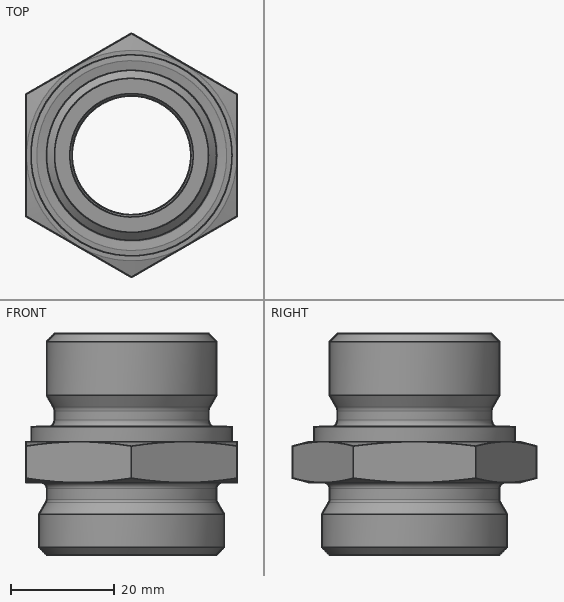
import cadquery as cq
import math

total_height = 43.0
bore_diameter = 23.0
bore_chamfer = 0.45
thread_chamfer = 1.55
relief_angle = math.radians(30)

lower_thread_radius = 36.0 / 2
lower_groove_radius = 33.0 / 2
lower_fillet = 1.15
lower_neck_bottom = 10.85

hex_across_corners = 47.35
hex_bottom = 14.05
hex_top = 22.0
hex_face_radius = 20.4
hex_chamfer_angle = math.radians(15)

collar_radius = 39.0 / 2
collar_edge_height = 24.85
rim_radius = 18.4
rim_height = 24.95
dish_height = 24.65

upper_thread_radius = 33.0 / 2
upper_groove_radius = 30.0 / 2
upper_fillet = 1.6
upper_neck_top = 28.0


def relief_offsets(thread_radius, groove_radius, fillet):
    """Radial and axial size of the groove's blend arc, then axial size of its cone."""
    arc_rise = fillet * (1 - math.cos(relief_angle))
    arc_length = fillet * math.sin(relief_angle)
    cone_length = (thread_radius - groove_radius - arc_rise) / math.tan(relief_angle)
    return arc_rise, arc_length, cone_length


def lower_end():
    arc_rise, arc_length, cone_length = relief_offsets(
        lower_thread_radius, lower_groove_radius, lower_fillet
    )
    arc_bottom = lower_neck_bottom - arc_length
    profile = (
        cq.Workplane("XZ")
        .lineTo(lower_thread_radius - thread_chamfer, 0)
        .lineTo(lower_thread_radius, thread_chamfer)
        .lineTo(lower_thread_radius, arc_bottom - cone_length)
        .lineTo(lower_groove_radius + arc_rise, arc_bottom)
        .tangentArcPoint((lower_groove_radius, lower_neck_bottom), relative=False)
        .lineTo(lower_groove_radius, hex_bottom - lower_fillet)
        .tangentArcPoint((lower_groove_radius + lower_fillet, hex_bottom), relative=False)
        .lineTo(0, hex_bottom)
        .close()
    )
    return profile.revolve(360, (0, 0, 0), (0, 1, 0))


def hexagon():
    height = hex_top - hex_bottom
    prism = (
        cq.Workplane("XY", origin=(0, 0, hex_bottom))
        .polygon(6, hex_across_corners)
        .extrude(height)
        .rotate((0, 0, 0), (0, 0, 1), 30)
    )
    corner_radius = hex_across_corners / 2
    corner_drop = (corner_radius - hex_face_radius) * math.tan(hex_chamfer_angle)
    chamfer_envelope = (
        cq.Workplane("XZ")
        .moveTo(0, hex_bottom)
        .lineTo(hex_face_radius, hex_bottom)
        .lineTo(corner_radius, hex_bottom + corner_drop)
        .lineTo(corner_radius, hex_top - corner_drop)
        .lineTo(hex_face_radius, hex_top)
        .lineTo(0, hex_top)
        .close()
        .revolve(360, (0, 0, 0), (0, 1, 0))
    )
    return prism.intersect(chamfer_envelope)


def upper_end():
    arc_rise, arc_length, cone_length = relief_offsets(
        upper_thread_radius, upper_groove_radius, upper_fillet
    )
    arc_top = upper_neck_top + arc_length
    dish_inner_radius = upper_groove_radius + upper_fillet
    profile = (
        cq.Workplane("XZ")
        .moveTo(0, hex_top)
        .lineTo(collar_radius, hex_top)
        .lineTo(collar_radius, collar_edge_height)
        .lineTo(rim_radius, rim_height)
        .lineTo(dish_inner_radius, dish_height)
        .radiusArc((upper_groove_radius, dish_height + upper_fillet), upper_fillet)
        .lineTo(upper_groove_radius, upper_neck_top)
        .tangentArcPoint((upper_groove_radius + arc_rise, arc_top), relative=False)
        .lineTo(upper_thread_radius, arc_top + cone_length)
        .lineTo(upper_thread_radius, total_height - thread_chamfer)
        .lineTo(upper_thread_radius - thread_chamfer, total_height)
        .lineTo(0, total_height)
        .close()
    )
    return profile.revolve(360, (0, 0, 0), (0, 1, 0))


def bore():
    bore_radius = bore_diameter / 2
    profile = (
        cq.Workplane("XZ")
        .lineTo(bore_radius, 0)
        .lineTo(bore_radius, total_height - bore_chamfer)
        .lineTo(bore_radius + bore_chamfer, total_height)
        .lineTo(0, total_height)
        .close()
    )
    return profile.revolve(360, (0, 0, 0), (0, 1, 0))


result = lower_end().union(hexagon()).union(upper_end()).cut(bore())